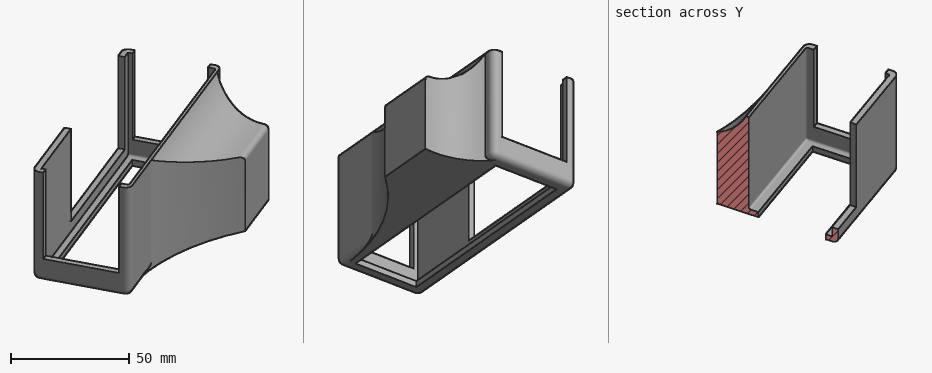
import cadquery as cq

TRAY_X = 44.0
TRAY_Y = 111.0
TRAY_Z = 53.0
OUTER_RADIUS = 3.0

WALL = 3.0
BRACKET_SIDE_WALL = 1.5
FLOOR = 3.0
CAVITY_RADIUS = 1.0
FLOOR_OPENING_MARGIN = 6.0

END_WINDOW_INSET = 5.0
END_WINDOW_SILL = 11.0

SIDE_WINDOW_SILL = 8.0
SIDE_WINDOW_LENGTH = 65.0
SIDE_WINDOW_BACK_INSET = 7.0

BRACKET_REACH = 26.0
BRACKET_ROOT_FRONT = 6.7
BRACKET_ROOT_BACK = 108.2
BRACKET_TIP_FRONT = 69.7
BRACKET_TIP_BACK = 98.3
BRACKET_TIP_HEIGHT = 36.6
FRONT_FLARE_RADIUS = 93.6
BACK_FLARE_RADIUS = 34.1
TOP_FLARE_RADIUS = 28.0
TIP_RADIUS = 2.5

tip_x = TRAY_X + BRACKET_REACH
root_x = TRAY_X - OUTER_RADIUS


def box_between(low, high):
    """Axis-aligned box from its lowest corner to its highest corner."""
    size = [b - a for a, b in zip(low, high)]
    return cq.Workplane("XY").box(*size, centered=False).translate(low)


def make_outer_body():
    """Solid block with rounded upright and bottom edges."""
    block = box_between((0, 0, 0), (TRAY_X, TRAY_Y, TRAY_Z))
    return block.edges("|Z or <Z").fillet(OUTER_RADIUS)


def make_bracket():
    """Plan outline with concave sides, trimmed by a side outline with a concave top."""
    plan = (
        cq.Workplane("XY")
        .moveTo(root_x, BRACKET_ROOT_FRONT)
        .radiusArc((tip_x, BRACKET_TIP_FRONT), FRONT_FLARE_RADIUS)
        .lineTo(tip_x, BRACKET_TIP_BACK)
        .radiusArc((root_x, BRACKET_ROOT_BACK), BACK_FLARE_RADIUS)
        .close()
        .extrude(TRAY_Z)
    )
    side = (
        cq.Workplane("XZ")
        .moveTo(root_x, 0)
        .lineTo(tip_x, 0)
        .lineTo(tip_x, BRACKET_TIP_HEIGHT)
        .radiusArc((TRAY_X, TRAY_Z), TOP_FLARE_RADIUS)
        .lineTo(root_x, TRAY_Z)
        .close()
        .extrude(-TRAY_Y)
    )
    tip_top_edge = cq.selectors.NearestToPointSelector((tip_x, TRAY_Y / 2, BRACKET_TIP_HEIGHT))
    return plan.intersect(side.edges(tip_top_edge).fillet(TIP_RADIUS))


def make_cavity():
    """Inside space, rounded along the floor and the +X corners but sharp along the -X wall."""
    cavity = box_between(
        (WALL, WALL, FLOOR),
        (TRAY_X - BRACKET_SIDE_WALL, TRAY_Y - WALL, TRAY_Z),
    )
    return cavity.edges("(<Z and (not <X)) or (|Z and >X)").fillet(CAVITY_RADIUS)


def make_floor_opening():
    return box_between(
        (FLOOR_OPENING_MARGIN, FLOOR_OPENING_MARGIN, 0),
        (TRAY_X - FLOOR_OPENING_MARGIN, TRAY_Y - FLOOR_OPENING_MARGIN, TRAY_Z),
    )


def make_end_windows():
    """One cut along the whole length that opens both end walls."""
    return box_between(
        (END_WINDOW_INSET, 0, END_WINDOW_SILL),
        (TRAY_X - END_WINDOW_INSET, TRAY_Y, TRAY_Z),
    )


def make_side_window():
    window_back = TRAY_Y - SIDE_WINDOW_BACK_INSET
    return box_between(
        (0, window_back - SIDE_WINDOW_LENGTH, SIDE_WINDOW_SILL),
        (WALL, window_back, TRAY_Z),
    )


result = (
    make_outer_body()
    .union(make_bracket())
    .cut(make_cavity())
    .cut(make_floor_opening())
    .cut(make_end_windows())
    .cut(make_side_window())
)